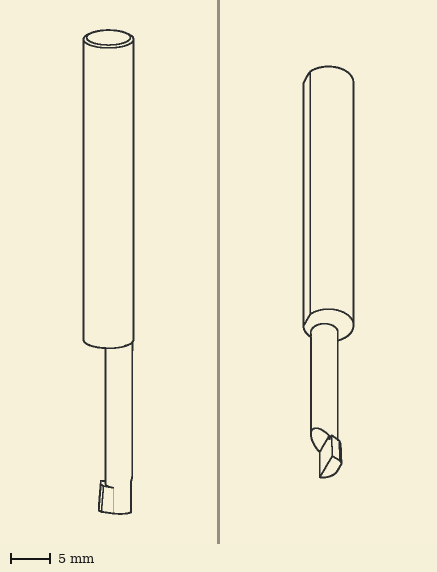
import cadquery as cq
import math

total_length = 63.5
shank_radius = 3.2
shank_flat_y = 2.9
shank_bottom = 22.85
chamfer_width = 0.41
chamfer_angle = 30.0
chamfer_height = chamfer_width * math.tan(math.radians(chamfer_angle))

neck_radius = 1.7
neck_x = shank_radius - neck_radius
neck_overlap = 0.65

rake_top = 4.3
runout_angle = 45.0

head_height = 3.75
head_lean = 0.3
tip_x = -1.1
relief_break = (-0.45, -1.3)
heel_x = 0.1

end_rise_back = 0.2
end_rise_across = 0.1


def make_shank():
    bar = cq.Workplane("XY").circle(shank_radius).extrude(total_length)
    bar = bar.faces(">Z").chamfer(chamfer_height, chamfer_width)
    flat_block = cq.Workplane("XY").box(
        2 * shank_radius, shank_radius, total_length, centered=(True, False, False)
    ).translate((0, shank_flat_y, 0))
    below_shank = cq.Workplane("XY").box(
        2 * shank_radius, 2 * shank_radius, shank_bottom, centered=(True, True, False)
    )
    return bar.cut(flat_block).cut(below_shank)


def make_neck():
    neck = cq.Workplane("XY").center(neck_x, 0).circle(neck_radius).extrude(shank_bottom + neck_overlap)
    clear_y = 2 * neck_radius
    runout_top = rake_top + clear_y * math.tan(math.radians(runout_angle))
    rake_cut = (
        cq.Workplane("YZ")
        .polyline([(0, 0), (clear_y, 0), (clear_y, runout_top), (0, rake_top)])
        .close()
        .extrude(2 * shank_radius, both=True)
    )
    return neck.cut(rake_cut)


def head_outline(lean):
    """Half-section of the head, from the cutting edge round to the neck centre."""
    return [
        (tip_x - lean, 0),
        (relief_break[0] - lean, relief_break[1]),
        (heel_x - lean, -neck_radius),
        (neck_x, -neck_radius),
        (neck_x, 0),
    ]


def make_head():
    return (
        cq.Workplane("XY")
        .polyline(head_outline(head_lean)).close()
        .workplane(offset=head_height)
        .polyline(head_outline(0)).close()
        .loft(ruled=True, combine=True)
    )


def make_end_relief():
    """Block whose top plane passes through the cutting tip and rises toward +X and -Y."""
    tip = (tip_x - head_lean, 0, 0)
    span_x = shank_radius - tip[0]
    normal = (-end_rise_across / span_x, end_rise_back / neck_radius, 1)
    plane = cq.Plane(origin=tip, xDir=(span_x, 0, end_rise_across), normal=normal)
    block_size = 4 * shank_radius
    return cq.Workplane(plane).rect(block_size, block_size).extrude(-shank_radius)


cutter = make_neck().union(make_head()).cut(make_end_relief())
result = make_shank().union(cutter)